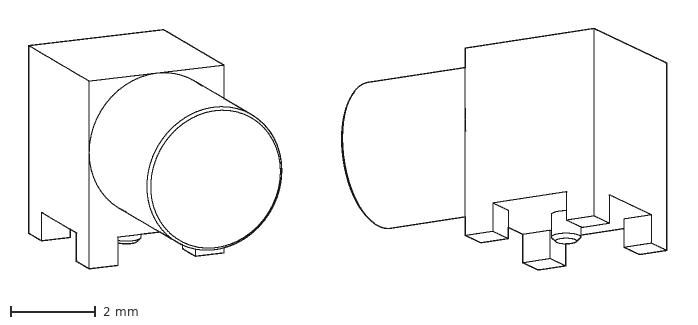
import cadquery as cq

block_side = 3.5
total_height = 4.6
leg_gap = 2.0
leg_height = 0.7

total_length = 6.9
barrel_diameter = block_side
barrel_length = total_length - block_side
barrel_axis_height = total_height - barrel_diameter / 2
barrel_chamfer = 0.07

pin_diameter = 0.7
pin_chamfer = 0.1
pin_clearance = 0.05
pin_length = leg_height - pin_clearance


def make_block():
    """Square block with two crossing channels that leave a leg at each corner."""
    block = cq.Workplane("XY").box(block_side, block_side, total_height, centered=(True, True, False))
    channel_along_x = cq.Workplane("XY").box(block_side, leg_gap, leg_height, centered=(True, True, False))
    channel_along_y = cq.Workplane("XY").box(leg_gap, block_side, leg_height, centered=(True, True, False))
    return block.cut(channel_along_x).cut(channel_along_y)


def make_barrel():
    """Solid cylinder along X with a chamfered free end."""
    return (
        cq.Workplane("YZ", origin=(block_side / 2, 0, barrel_axis_height))
        .circle(barrel_diameter / 2)
        .extrude(barrel_length)
        .faces(">X")
        .chamfer(barrel_chamfer)
    )


def make_housing():
    """Block and barrel as one solid."""
    return make_block().union(make_barrel())


def make_pin():
    """Vertical pin with a chamfered tip, its upper end touching the block underside."""
    return (
        cq.Workplane("XY", origin=(0, 0, pin_clearance))
        .circle(pin_diameter / 2)
        .extrude(pin_length)
        .faces("<Z")
        .chamfer(pin_chamfer)
    )


housing = make_housing()
pin = make_pin()

result = cq.Compound.makeCompound([housing.solids().val(), pin.solids().val()])